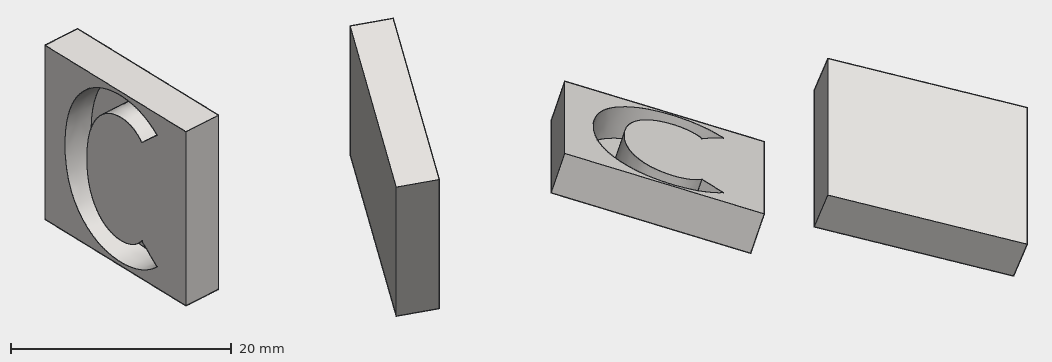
import cadquery as cq

side = 19.0
thickness = 4.0

recess_depth = 3.2
crown_x = 0.59

outer_tip = (5.6, 7.18)
outer_crown = (crown_x, 9.08)
outer_shoulder = (-2.66, 8.28)
outer_flank = (-5.26, 5.89)
outer_left = (-6.78, 0)

inner_tip = (3.55, 5.35)
inner_crown = (crown_x, 6.7)
inner_shoulder = (-1.31, 6.12)
inner_flank = (-3.04, 4.1)
inner_left = (-3.84, 0)


def mirrored(point):
    """Reflect a point about the mid-height of the plate."""
    x, z = point
    return (x, -z)


def symmetric_curve(upper_points, left_point):
    """List the points of a C-shaped edge from its upper tip to its lower tip."""
    lower_points = [mirrored(point) for point in reversed(upper_points)]
    return upper_points + [left_point] + lower_points


def make_recess():
    """Solid that fills the C-shaped recess, from the front face inwards."""
    outer_edge = symmetric_curve([outer_tip, outer_crown, outer_shoulder, outer_flank], outer_left)
    inner_edge = symmetric_curve([inner_tip, inner_crown, inner_shoulder, inner_flank], inner_left)
    return (
        cq.Workplane("XZ", origin=(0, -thickness / 2, 0))
        .moveTo(*outer_edge[0])
        .spline(outer_edge[1:], includeCurrent=True)
        .lineTo(*inner_edge[-1])
        .spline(inner_edge[-2::-1], includeCurrent=True)
        .close()
        .extrude(-recess_depth)
    )


plate = cq.Workplane("XY").box(side, thickness, side)
result = plate.cut(make_recess())